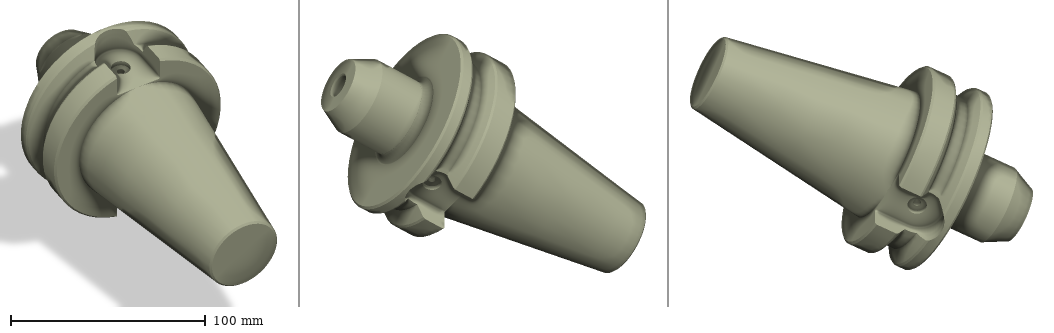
import cadquery as cq
import math

length = 181.8

nose_radius = 42.0 / 2
neck_radius = 41.8 / 2
nose_tip_radius = 14.9
nose_cone_length = 12.7
neck_start = 37.6
neck_step = 0.2
bore_diameter = 12.0
bore_depth = 36.4
bore_chamfer = 0.7

flange_radius = 100.0 / 2
flange_front = 42.0
flange_rear = 77.0
flange_chamfer = 1.0
groove_radius = 42.5
groove_floor_start = 53.3
groove_floor_end = 59.8
groove_wall_angle = 60.0
groove_edge_chamfer = 0.7

relief_radius = 25.3
relief_depth = 0.2
neck_fillet = 3.6

shank_gauge_x = 80.0
shank_gauge_radius = 70.0 / 2
shank_taper = 7 / 24
shank_end_chamfer = 0.9

slot_width = 25.8
slot_center_x = 58.4
slot_floor_z = 35.5
slot_floor_fillet = 0.9
slot_hole_x = 59.6
slot_hole_diameter = 10.0
slot_hole_depth = 2.7
pilot_diameter = 4.0
pilot_depth = 5.5
pilot_tip_angle = 118.0


def shank_radius(x):
    return shank_gauge_radius - (x - shank_gauge_x) * shank_taper / 2


def make_body():
    wall_run = (flange_radius - groove_radius) / math.tan(math.radians(groove_wall_angle))
    wall_dx = groove_edge_chamfer / math.tan(math.radians(groove_wall_angle))
    groove_start = groove_floor_start - wall_run
    groove_end = groove_floor_end + wall_run
    relief_floor = flange_front + relief_depth
    fillet_start = relief_floor - neck_fillet
    fillet_mid = neck_fillet * math.sqrt(0.5)
    fillet_center_radius = neck_radius + neck_fillet
    shank_chamfer_x = length - shank_end_chamfer
    return (
        cq.Workplane("XY")
        .moveTo(0, 0)
        .lineTo(0, nose_tip_radius)
        .lineTo(nose_cone_length, nose_radius)
        .lineTo(neck_start, nose_radius)
        .lineTo(neck_start + neck_step, neck_radius)
        .lineTo(fillet_start, neck_radius)
        .threePointArc(
            (fillet_start + fillet_mid, fillet_center_radius - fillet_mid),
            (relief_floor, fillet_center_radius),
        )
        .lineTo(flange_front, relief_radius)
        .lineTo(flange_front, flange_radius - flange_chamfer)
        .lineTo(flange_front + flange_chamfer, flange_radius)
        .lineTo(groove_start - groove_edge_chamfer, flange_radius)
        .lineTo(groove_start + wall_dx, flange_radius - groove_edge_chamfer)
        .lineTo(groove_floor_start, groove_radius)
        .lineTo(groove_floor_end, groove_radius)
        .lineTo(groove_end - wall_dx, flange_radius - groove_edge_chamfer)
        .lineTo(groove_end + groove_edge_chamfer, flange_radius)
        .lineTo(flange_rear - flange_chamfer, flange_radius)
        .lineTo(flange_rear, flange_radius - flange_chamfer)
        .lineTo(flange_rear, shank_radius(flange_rear))
        .lineTo(shank_chamfer_x, shank_radius(shank_chamfer_x))
        .lineTo(length, shank_radius(length) - shank_end_chamfer)
        .lineTo(length, 0)
        .close()
        .revolve(360, (0, 0, 0), (1, 0, 0))
    )


def make_nose_bore():
    bore_radius = bore_diameter / 2
    return (
        cq.Workplane("XY")
        .moveTo(0, 0)
        .lineTo(0, bore_radius + bore_chamfer)
        .lineTo(bore_chamfer, bore_radius)
        .lineTo(bore_depth, bore_radius)
        .lineTo(bore_depth, 0)
        .close()
        .revolve(360, (0, 0, 0), (1, 0, 0))
    )


def make_drive_slot():
    """Upper slot: round at the front, open at the rear face, with holes below its floor."""
    half_width = slot_width / 2
    slot = (
        cq.Workplane("XY", origin=(0, 0, slot_floor_z))
        .moveTo(flange_rear, half_width)
        .lineTo(slot_center_x, half_width)
        .threePointArc((slot_center_x - half_width, 0), (slot_center_x, -half_width))
        .lineTo(flange_rear, -half_width)
        .close()
        .extrude(flange_radius - slot_floor_z)
        .faces("<Z")
        .edges("not >X")
        .fillet(slot_floor_fillet)
    )
    for diameter, depth in ((slot_hole_diameter, slot_hole_depth), (pilot_diameter, pilot_depth)):
        hole = (
            cq.Workplane("XY", origin=(slot_hole_x, 0, slot_floor_z - depth))
            .circle(diameter / 2)
            .extrude(depth)
        )
        slot = slot.union(hole)
    pilot_radius = pilot_diameter / 2
    tip_height = pilot_radius / math.tan(math.radians(pilot_tip_angle / 2))
    drill_tip = cq.Solid.makeCone(
        pilot_radius,
        0,
        tip_height,
        pnt=cq.Vector(slot_hole_x, 0, slot_floor_z - pilot_depth),
        dir=cq.Vector(0, 0, -1),
    )
    return slot.union(cq.Workplane(obj=drill_tip))


drive_slot = make_drive_slot()
opposite_slot = drive_slot.mirror("XY")
result = make_body().cut(make_nose_bore()).cut(drive_slot).cut(opposite_slot)